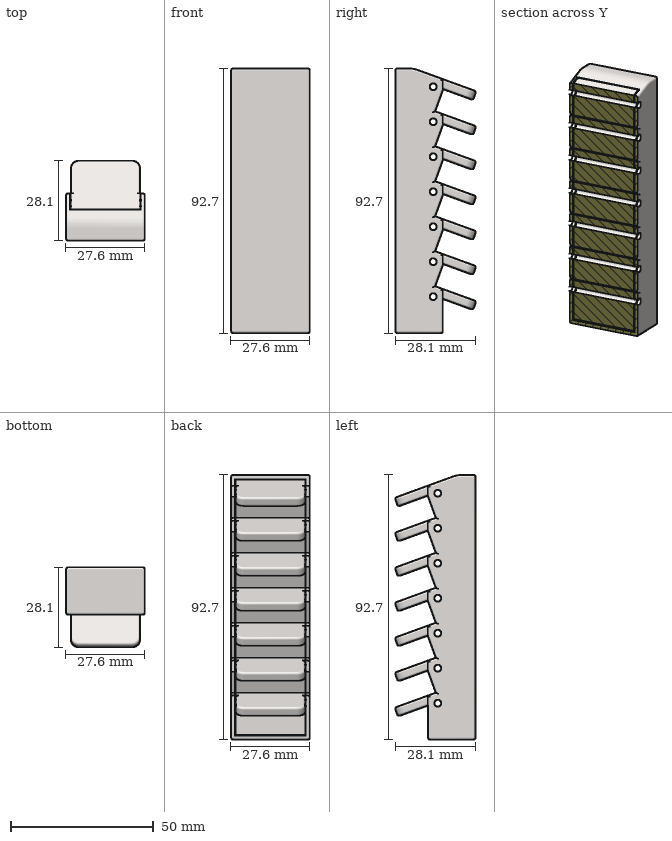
import cadquery as cq
import math

housing_width = 27.6
housing_depth = 16.7
housing_height = 92.7
edge_radius = 0.8

slope = math.radians(20)
top_flat_end = 6.3
top_blend_radius = 9.0

shelf_count = 7
shelf_pitch = 12.2
shelf_thickness = 3.3
root_height = 3.9
shelf_length = 12.4
shelf_corner_radius = 3.0

comb_width = 24.3
comb_depth = 5.6
comb_clearance = 0.3
floor_thickness = 1.5

hole_diameter = 2.3
hole_inset = 3.4
hole_drop = 2.7

top_root_z = housing_height - (housing_depth - top_flat_end) * math.tan(slope)
notch_depth = (shelf_pitch - root_height) / (math.tan(slope) + 1 / math.tan(slope))
root_heights = [top_root_z - i * shelf_pitch for i in range(shelf_count)]
pocket_width = comb_width + 2 * comb_clearance
pocket_front = housing_depth - comb_depth - comb_clearance
comb_front = housing_depth - comb_depth
comb_bottom = floor_thickness + comb_clearance


def side_prism(points, width):
    """Extrude a closed (Y, Z) outline symmetrically about X = 0."""
    return cq.Workplane("YZ").polyline(points).close().extrude(width / 2, both=True)


def box_between(width, y_range, z_range):
    """Box centred on X = 0 that spans the given Y and Z ranges."""
    (y0, y1), (z0, z1) = y_range, z_range
    return side_prism([(y0, z0), (y1, z0), (y1, z1), (y0, z1)], width)


def stepped_outline():
    """Side outline with a saw-tooth back: square notches tilted by the slope."""
    points = [(0, 0), (0, housing_height), (top_flat_end, housing_height)]
    for root_z in root_heights[:-1]:
        notch_z = root_z - shelf_pitch + notch_depth * math.tan(slope)
        points.append((housing_depth, root_z))
        points.append((housing_depth, root_z - root_height))
        points.append((housing_depth - notch_depth, notch_z))
    points.append((housing_depth, root_heights[-1]))
    points.append((housing_depth, 0))
    return points


def stepped_block(width):
    """Stepped block with the flat top blended into the slope."""
    block = side_prism(stepped_outline(), width)
    ridge = cq.selectors.NearestToPointSelector((0, top_flat_end, housing_height))
    return block.edges("|X").edges(ridge).fillet(top_blend_radius)


def cross_holes():
    """Round cutters through the full width, one per shelf."""
    centres = [(housing_depth - hole_inset, root_z - hole_drop) for root_z in root_heights]
    return (
        cq.Workplane("YZ")
        .pushPoints(centres)
        .circle(hole_diameter / 2)
        .extrude(housing_width, both=True)
    )


def make_housing():
    """Outer shell with rounded edges and a pocket open to the top and back."""
    body = stepped_block(housing_width)
    rounded = body.faces("<X or >X").edges().add(body.faces("<Y or <Z").edges("|X"))
    body = rounded.fillet(edge_radius)
    pocket = box_between(
        pocket_width,
        (pocket_front, 2 * housing_depth),
        (floor_thickness, 2 * housing_height),
    )
    return body.cut(pocket).cut(cross_holes())


def make_shelf(root_z):
    """Rounded shelf, trimmed flush with the back face it grows from."""
    overlap = 2 * shelf_thickness
    shelf_plane = cq.Plane(
        origin=(0, housing_depth, root_z),
        xDir=(1, 0, 0),
        normal=(0, math.sin(slope), math.cos(slope)),
    )
    slab = (
        cq.Workplane(shelf_plane)
        .center(0, (shelf_length - overlap) / 2)
        .rect(comb_width, shelf_length + overlap)
        .extrude(-shelf_thickness)
    )
    slab = slab.faces(">Y").edges("<X or >X").fillet(shelf_corner_radius)
    slab = slab.faces("<Z or >Z").edges().fillet(edge_radius)
    inside = box_between(
        housing_width,
        (-housing_depth, housing_depth),
        (-housing_height, 2 * housing_height),
    )
    return slab.cut(inside)


def make_comb():
    """Spine that follows the stepped outline, carrying all the shelves."""
    spine_space = box_between(
        comb_width,
        (comb_front, housing_depth),
        (comb_bottom, housing_height),
    )
    comb = stepped_block(comb_width).intersect(spine_space)
    for root_z in root_heights:
        comb = comb.union(make_shelf(root_z))
    return comb.cut(cross_holes())


housing = make_housing()
shelf_comb = make_comb()
result = cq.Compound.makeCompound([housing.solids().val(), shelf_comb.solids().val()])